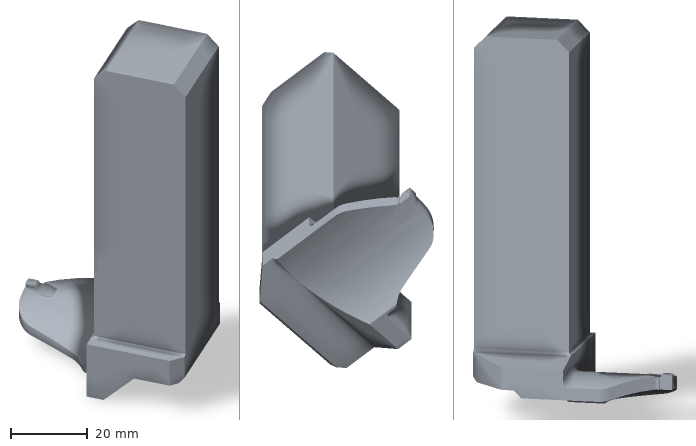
import cadquery as cq


total_height = 100.4
shank_width = 25.4
shank_left = 0.6
shank_front = 3.8
shank_top_chamfer = 3.2
shank_root_radius = 1.0
shank_front_bevel = 0.4
shank_right = shank_left + shank_width
shank_back = shank_front + shank_width

head_depth = 39.1
head_height = 16.4
head_back_height = 14.6
slope_start = shank_back + shank_root_radius
foot_length = 4.7
ramp_end = 13.1
overhang_z = 8.6
overhang_chamfer = 1.2
front_corner_chamfer = 3.0
back_corner_x = 16.5
back_corner_y = 30.1

outer_radius = 21.9
outer_center_y = 29.8
outer_center_z = -9.8
inner_radius = 24.7
inner_center_y = 29.6
inner_center_z = -16.2
blade_root_fillet = 1.6
blade_tip_x = -26.6

tip_overhang = 0.25
insert_tip_x = blade_tip_x - tip_overhang
insert_back_y = 29.5
insert_top = 11.5
table_top = 12.4
table_end_x = -24.2
table_ramp_end_x = -23.4
table_front_y = 26.9


def box(x_min, x_max, y_min, y_max, z_min, z_max):
    """Box given by its limits on each axis."""
    block = cq.Workplane("XY").box(x_max - x_min, y_max - y_min, z_max - z_min, centered=False)
    return block.translate((x_min, y_min, z_min))


def cylinder_along_x(radius, center_y, center_z, x_min, x_max):
    """Cylinder parallel to X between two X positions."""
    profile = cq.Workplane("YZ", origin=(x_min, 0, 0)).center(center_y, center_z).circle(radius)
    return profile.extrude(x_max - x_min)


def make_bore():
    """Clearance cylinder that hollows the underside of blade, insert and head."""
    return cylinder_along_x(inner_radius, inner_center_y, inner_center_z, insert_tip_x - 1, shank_right + 1)


def make_shank():
    shank = box(shank_left, shank_right, shank_front, shank_back, head_height, total_height)
    return shank.faces(">Z").edges("|Y").chamfer(shank_top_chamfer)


def make_shank_root():
    """Concave fillet around the left and back of the shank, kept inside the head's outline."""
    radius = shank_root_radius
    root_top = head_height + radius
    ring = box(0, shank_right, shank_front, shank_back + radius, head_height, root_top)
    left_relief = (
        cq.Workplane("XZ").center(shank_left - radius, root_top).circle(radius).extrude(-head_depth)
    )
    back_relief = cylinder_along_x(radius, shank_back + radius, root_top, 0, shank_right)
    return ring.cut(left_relief).cut(back_relief)


def make_shank_front_bevel():
    """Small sloping strip where the front of the shank meets the head."""
    profile = [
        (shank_front, head_height),
        (shank_front - shank_front_bevel, head_height),
        (shank_front, head_height + shank_front_bevel),
    ]
    return cq.Workplane("YZ", origin=(shank_left, 0, 0)).polyline(profile).close().extrude(shank_width)


def make_head():
    side_profile = [
        (0, 0),
        (foot_length, 0),
        (ramp_end, overhang_z),
        (shank_right - overhang_chamfer, overhang_z),
        (shank_right, overhang_z + overhang_chamfer),
        (shank_right, head_height),
        (0, head_height),
    ]
    plan_outline = [
        (0, 0),
        (shank_right - front_corner_chamfer, 0),
        (shank_right, front_corner_chamfer),
        (shank_right, back_corner_y),
        (back_corner_x, head_depth),
        (0, head_depth),
    ]
    end_profile = [
        (0, 0),
        (head_depth, 0),
        (head_depth, head_back_height),
        (slope_start, head_height),
        (0, head_height),
    ]
    side = cq.Workplane("XZ").polyline(side_profile).close().extrude(-head_depth)
    plan = cq.Workplane("XY").polyline(plan_outline).close().extrude(head_height)
    end = cq.Workplane("YZ").polyline(end_profile).close().extrude(shank_right)
    return side.intersect(plan).intersect(end)


def make_blade():
    """Arched blade cut to its plan outline."""
    outline = (
        cq.Workplane("XY")
        .moveTo(0, head_depth)
        .lineTo(-9.3, head_depth)
        .threePointArc((-10.9, 38.8), (-12.4, 37.9))
        .lineTo(-22.5, 29.8)
        .lineTo(-22.5, insert_back_y)
        .lineTo(blade_tip_x, insert_back_y)
        .lineTo(blade_tip_x, 23.0)
        .threePointArc((-25.1, 18.5), (-21.1, 15.9))
        .lineTo(-8.2, 12.6)
        .threePointArc((-6.1, 11.7), (-4.2, 10.3))
        .lineTo(-4.2, 0)
        .lineTo(0, 0)
        .close()
        .extrude(head_height)
    )
    return cylinder_along_x(outer_radius, outer_center_y, outer_center_z, blade_tip_x, 0).intersect(outline)


def make_blade_root():
    """Concave fillet between the blade's outer cylinder and the head, revolved about the cylinder's axis."""
    size = blade_root_fillet
    rim = outer_radius + size
    collar = cylinder_along_x(rim, outer_center_y, outer_center_z, -size, 0)
    relief = (
        cq.Workplane("XY", origin=(0, outer_center_y, outer_center_z))
        .center(-size, rim)
        .circle(size)
        .revolve(360, (0, -rim, 0), (1, -rim, 0))
    )
    return collar.cut(relief).intersect(box(-size, 0, 0, head_depth, 0, head_height))


def insert_plan():
    """Closed plan outline of the insert, ready to extrude upward."""
    corners = [
        (insert_tip_x, insert_back_y),
        (-23.5, insert_back_y),
        (-23.5, 29.8),
        (-22.5, 29.8),
        (-18.4, 28.1),
        (-18.4, 25.1),
        (-20.1, 24.5),
        (-21.3, 24.5),
        (blade_tip_x, 26.4),
        (insert_tip_x, 27.4),
    ]
    return cq.Workplane("XY").polyline(corners).close()


def make_holder():
    holder = make_head().union(make_shank()).union(make_shank_root()).union(make_shank_front_bevel())
    holder = holder.union(make_blade()).union(make_blade_root())
    pocket = insert_plan().extrude(head_height)
    return holder.cut(make_bore()).cut(pocket)


def make_insert():
    """Full-depth insert with a raised cutting table at its tip."""
    table_profile = [
        (insert_tip_x, insert_top),
        (table_ramp_end_x, insert_top),
        (table_end_x, table_top),
        (insert_tip_x, table_top),
    ]
    table_depth = insert_back_y - table_front_y
    table = (
        cq.Workplane("XZ", origin=(0, insert_back_y, 0)).polyline(table_profile).close().extrude(table_depth)
    )
    body = insert_plan().extrude(insert_top)
    trimmed_table = table.intersect(insert_plan().extrude(table_top))
    return body.union(trimmed_table).cut(make_bore())


holder = make_holder()
insert = make_insert()
result = cq.Compound.makeCompound([*holder.solids().vals(), *insert.solids().vals()])